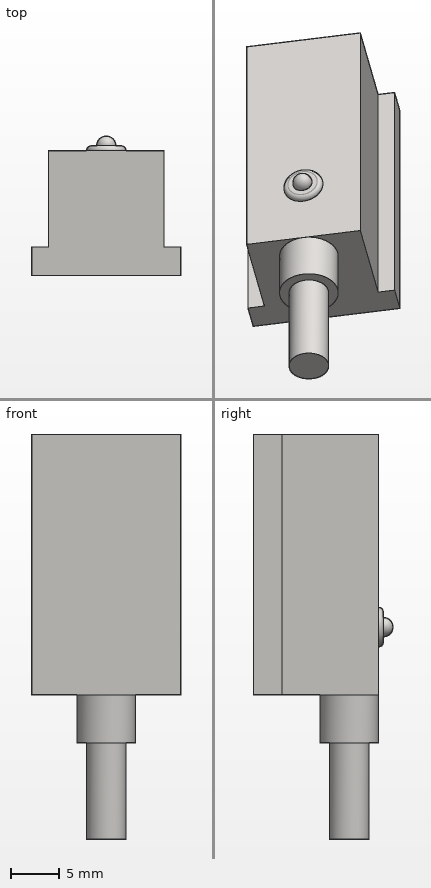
import cadquery as cq
import math

flange_width = 15.5
flange_depth = 3.0
block_width = 12.0
housing_depth = 12.98
housing_height = 27.0

total_height = 42.0
collar_diameter = 6.1
collar_length = 5.0
cable_diameter = 4.1
cable_length = total_height - housing_height - collar_length
outlet_y = housing_depth - collar_diameter / 2

total_depth = 14.5
button_height = 7.0
bezel_diameter = 4.1
bezel_thickness = 0.5
dome_radius = 1.0
dome_center_y = total_depth - dome_radius


def make_housing():
    flange = cq.Workplane("XY").box(
        flange_width, flange_depth, housing_height, centered=(True, False, False)
    )
    block = cq.Workplane("XY").box(
        block_width, housing_depth, housing_height, centered=(True, False, False)
    )
    return flange.union(block)


def make_outlet():
    base = cq.Workplane("XY").center(0, outlet_y)
    collar = base.circle(collar_diameter / 2).extrude(-collar_length)
    cable = base.circle(cable_diameter / 2).extrude(-(collar_length + cable_length))
    return collar.union(cable)


def make_button():
    bezel_radius = bezel_diameter / 2
    rim_center_x = bezel_radius - bezel_thickness
    rim_offset = bezel_thickness * math.sqrt(0.5)
    bezel = (
        cq.Workplane("XY", origin=(0, housing_depth, button_height))
        .lineTo(bezel_radius, 0)
        .threePointArc((rim_center_x + rim_offset, rim_offset), (rim_center_x, bezel_thickness))
        .lineTo(0, bezel_thickness)
        .close()
        .revolve(360, (0, 0, 0), (0, 1, 0))
    )
    dome = cq.Workplane("XY").sphere(dome_radius).translate((0, dome_center_y, button_height))
    return bezel.union(dome)


result = make_housing().union(make_outlet()).union(make_button())